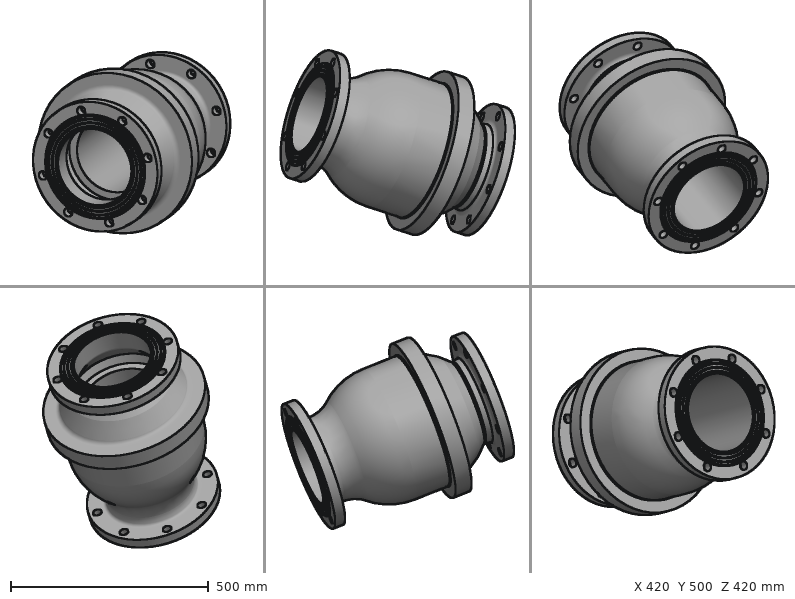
import cadquery as cq
import math

OUTWARD = (1, 0)
FORWARD = (0, -1)

LENGTH = 500.0
END_Y = LENGTH / 2
BORE_RADIUS = 100.0

FLANGE_RADIUS = 170.0
FLANGE_DEPTH = 30.5
FACE_HEIGHT = 3.0
FACE_RADIUS = 133.5
FACE_BASE_RADIUS = 136.5
FLANGE_BACK_Y = END_Y - FLANGE_DEPTH
NECK_ROOT_RADIUS = 128.0

BOLT_COUNT = 8
BOLT_DIAMETER = 22.0
BOLT_CIRCLE_RADIUS = 147.5
BOLT_START_ANGLE = 15.0

GROOVE_COUNT = 3
FIRST_GROOVE_RADIUS = 106.0
GROOVE_PITCH = 10.0
GROOVE_WIDTH = 3.0
GROOVE_DEPTH = 1.5

COLLAR_RADIUS = 210.0
COLLAR_FRONT_Y = -112.5
COLLAR_BACK_Y = -68.0
BODY_RADIUS = 178.0
SKIRT_FLARE = 1.5
SKIRT_HEIGHT = 3.0
DOME_Y = 25.0
DOME_END_Y = 143.5
REAR_NECK_RADIUS = 115.0
THROAT_END_Y = 196.5
REAR_NECK_END = (118.5, 212.5)

CONE_START = (164.0, -121.5)
CONE_BREAK = (137.0, -164.5)
CONE_END = (113.5, -189.5)
FRONT_NECK_START = (111.5, -195.5)
FRONT_NECK_END = (114.5, -212.5)

LIP_START_Y = -196.0
LIP_END = (104.0, -186.0)
POCKET_WIDEST = (130.0, -146.0)
POCKET_END = (121.0, -122.0)


def dome_point(angle):
    """Point of the dome at an angle above its widest circle."""
    return (BODY_RADIUS * math.cos(angle), DOME_Y + BODY_RADIUS * math.sin(angle))


def arc_middle(tangent_point, normal, other_end):
    """Middle of an arc that touches the line through tangent_point; normal points to its centre."""
    step_r = other_end[0] - tangent_point[0]
    step_y = other_end[1] - tangent_point[1]
    radius = (step_r**2 + step_y**2) / (2 * (step_r * normal[0] + step_y * normal[1]))
    centre_r = tangent_point[0] + radius * normal[0]
    centre_y = tangent_point[1] + radius * normal[1]
    chord_r = (tangent_point[0] + other_end[0]) / 2 - centre_r
    chord_y = (tangent_point[1] + other_end[1]) / 2 - centre_y
    stretch = radius / math.hypot(chord_r, chord_y)
    return (centre_r + stretch * chord_r, centre_y + stretch * chord_y)


def revolve(profile):
    """Spin a closed (radius, y) profile about the Y axis."""
    return profile.close().revolve(360, (0, 0, 0), (0, 1, 0))


def make_body():
    dome_angle = math.asin((DOME_END_Y - DOME_Y) / BODY_RADIUS)
    dome_end = dome_point(dome_angle)
    throat_end = (REAR_NECK_RADIUS, THROAT_END_Y)
    rear_root = (NECK_ROOT_RADIUS, FLANGE_BACK_Y)
    collar_root = (BODY_RADIUS, COLLAR_FRONT_Y)
    outline = (
        cq.Workplane("XY")
        .moveTo(0, -END_Y)
        .lineTo(FACE_RADIUS, -END_Y)
        .lineTo(FACE_BASE_RADIUS, FACE_HEIGHT - END_Y)
        .lineTo(FLANGE_RADIUS, FACE_HEIGHT - END_Y)
        .lineTo(FLANGE_RADIUS, -FLANGE_BACK_Y)
        .lineTo(NECK_ROOT_RADIUS, -FLANGE_BACK_Y)
        .tangentArcPoint(FRONT_NECK_END, relative=False)
        .lineTo(*FRONT_NECK_START)
        .lineTo(*CONE_END)
        .lineTo(*CONE_BREAK)
        .lineTo(*CONE_START)
        .threePointArc(arc_middle(collar_root, FORWARD, CONE_START), collar_root)
        .lineTo(COLLAR_RADIUS, COLLAR_FRONT_Y)
        .lineTo(COLLAR_RADIUS, COLLAR_BACK_Y)
        .lineTo(BODY_RADIUS + SKIRT_FLARE, COLLAR_BACK_Y)
        .lineTo(BODY_RADIUS, COLLAR_BACK_Y + SKIRT_HEIGHT)
        .lineTo(BODY_RADIUS, DOME_Y)
        .threePointArc(dome_point(dome_angle / 2), dome_end)
        .threePointArc(arc_middle(throat_end, OUTWARD, dome_end), throat_end)
        .tangentArcPoint(REAR_NECK_END, relative=False)
        .threePointArc(arc_middle(rear_root, FORWARD, REAR_NECK_END), rear_root)
        .lineTo(FLANGE_RADIUS, FLANGE_BACK_Y)
        .lineTo(FLANGE_RADIUS, END_Y - FACE_HEIGHT)
        .lineTo(FACE_BASE_RADIUS, END_Y - FACE_HEIGHT)
        .lineTo(FACE_RADIUS, END_Y)
        .lineTo(0, END_Y)
    )
    return revolve(outline)


def make_bore():
    ledge_y = POCKET_END[1]
    outline = (
        cq.Workplane("XY")
        .moveTo(0, -END_Y)
        .lineTo(BORE_RADIUS, -END_Y)
        .lineTo(BORE_RADIUS, LIP_START_Y)
        .tangentArcPoint(LIP_END, relative=False)
        .lineTo(*POCKET_WIDEST)
        .lineTo(*POCKET_END)
        .lineTo(BORE_RADIUS, ledge_y)
        .lineTo(BORE_RADIUS, END_Y)
        .lineTo(0, END_Y)
    )
    return revolve(outline)


def make_groove(radius, side):
    face_y = side * END_Y
    half = GROOVE_WIDTH / 2
    outline = (
        cq.Workplane("XY")
        .moveTo(radius - half, face_y)
        .lineTo(radius, face_y - side * GROOVE_DEPTH)
        .lineTo(radius + half, face_y)
    )
    return revolve(outline)


def make_bolt_holes():
    return (
        cq.Workplane("XZ", origin=(0, -END_Y, 0))
        .polarArray(BOLT_CIRCLE_RADIUS, BOLT_START_ANGLE, 360, BOLT_COUNT)
        .circle(BOLT_DIAMETER / 2)
        .extrude(-FLANGE_DEPTH)
    )


front_holes = make_bolt_holes()
rear_holes = front_holes.translate((0, LENGTH - FLANGE_DEPTH, 0))

result = make_body().cut(make_bore()).cut(front_holes).cut(rear_holes)
for side in (-1, 1):
    for index in range(GROOVE_COUNT):
        result = result.cut(make_groove(FIRST_GROOVE_RADIUS + index * GROOVE_PITCH, side))